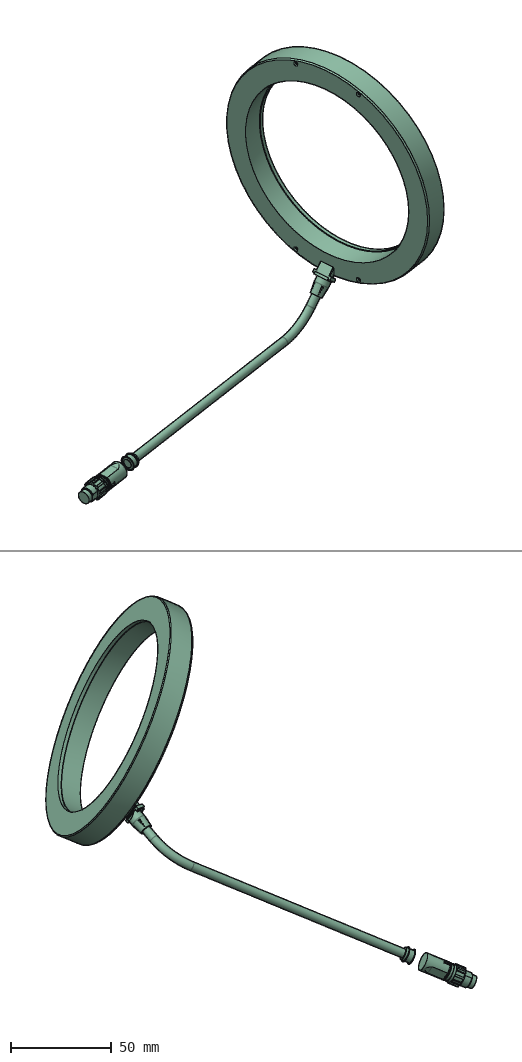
import cadquery as cq
import math

ring_outer_diameter = 128.0
ring_bore_diameter = 103.0
ring_depth = 13.0
ring_back_chamfer = 0.52
ring_front_chamfer_width = 0.52
ring_front_chamfer_depth = 0.93
ring_lip_diameter = 102.0
ring_lip_depth = 2.0
screw_circle_diameter = 123.3
screw_angle_from_vertical = 18.7
screw_hole_diameter = 1.22
screw_sink_diameter = 2.5
screw_hole_depth = 4.1

exit_angle = 45.0
exit_height = -63.7
block_width = 8.5
block_height = 7.9
block_chamfer = 0.5
block_end = 1.9
wing_span = 11.0
wing_start = 0.8
wing_end = 2.7
wing_bottom = -1.0
collar_end = 3.3
collar_size = 8.5
boot_shoulder = 6.5
boot_end = 12.5
boot_base_diameter = 7.9
boot_tip_diameter = 6.5
boot_pad_width = 4.5
boot_groove_count = 4
boot_groove_width = 0.6
boot_groove_depth = 0.6

cable_diameter = 4.8
cable_lead = 6.2
bend_radius = 30.0
cable_run = 119.8

sleeve_diameter = 6.8
sleeve_length = 4.8
sleeve_rim_diameter = 8.0
sleeve_rim_width = 0.2
sleeve_rear_rim = 1.2
sleeve_stub_length = 0.2

overall_length = 207.0
connector_length = 28.5
body_diameter = 9.5
body_front = 15.0
flat_height = 4.1
flat_slope_start = 27.3
flat_start = 24.6
latch_start = 19.0
latch_height = 1.2
latch_depth = 0.8
body_groove_start = 15.7
body_groove_width = 0.6
body_groove_depth = 0.31
neck_diameter = 8.5
nose_rear = 7.0
nose_diameter = 8.0
nose_flat_width = 7.0
nose_front = 2.5
nose_chamfer = 0.5
tip_diameter = 6.8

nut_rear = 13.5
nut_rib_start = 12.0
nut_bore_diameter = 6.2
nut_collar_diameter = 9.5
nut_root_diameter = 9.1
nut_rib_diameter = 10.5
nut_rib_count = 10
nut_rib_width = 1.0

exit_cos = math.cos(math.radians(exit_angle))
exit_sin = math.sin(math.radians(exit_angle))
bend_start_distance = boot_end + cable_lead
bend_start_y = -bend_start_distance * exit_cos
bend_start_z = exit_height - bend_start_distance * exit_sin
bend_end_y = bend_start_y - bend_radius * exit_sin
cable_z = bend_start_z - bend_radius * (1 - exit_cos)
cable_end_y = bend_end_y - cable_run
tip_y = ring_depth - overall_length


def exit_plane(distance):
    """Plane across the gland axis, at a distance from the front face of the ring."""
    origin = (0, -distance * exit_cos, exit_height - distance * exit_sin)
    return cq.Plane(origin=origin, xDir=(1, 0, 0), normal=(0, -exit_cos, -exit_sin))


def rod(y, diameter, length):
    """Cylinder on the axis of the cable run, from y towards -Y."""
    plane = cq.Workplane("XZ", origin=(0, y, cable_z))
    return plane.circle(diameter / 2).extrude(length)


def connector_rod(rear, front, diameter):
    """Cylinder between two stations of the connector."""
    return rod(tip_y + rear, diameter, rear - front)


def make_ring():
    outer = ring_outer_diameter / 2
    bore = ring_bore_diameter / 2
    lip = ring_lip_diameter / 2
    lip_start = ring_depth - ring_lip_depth
    profile = [
        (bore, 0),
        (outer - ring_front_chamfer_width, 0),
        (outer, ring_front_chamfer_depth),
        (outer, ring_depth - ring_back_chamfer),
        (outer - ring_back_chamfer, ring_depth),
        (lip, ring_depth),
        (lip, lip_start),
        (bore, lip_start),
    ]
    ring = cq.Workplane("XY").polyline(profile).close().revolve(360, (0, 0), (0, 1))

    radius = screw_circle_diameter / 2
    x = radius * math.sin(math.radians(screw_angle_from_vertical))
    z = radius * math.cos(math.radians(screw_angle_from_vertical))
    sink_depth = (screw_sink_diameter - screw_hole_diameter) / 2
    hole_profile = [
        (0, 0),
        (screw_sink_diameter / 2, 0),
        (screw_hole_diameter / 2, sink_depth),
        (screw_hole_diameter / 2, screw_hole_depth),
        (0, screw_hole_depth),
    ]
    hole = cq.Workplane("XY").polyline(hole_profile).close().revolve(360, (0, 0), (0, 1))
    for side in (-1, 1):
        for end in (-1, 1):
            ring = ring.cut(hole.translate((side * x, 0, end * z)))
    return ring


def upper_plate(start, end, width, top):
    """Plate across the gland axis that reaches from the wing bottom up to a given height."""
    return (
        cq.Workplane(exit_plane(start))
        .center(0, (top + wing_bottom) / 2)
        .rect(width, top - wing_bottom)
        .extrude(end - start)
    )


def boot_radius(distance):
    """Radius of the tapered boot at a distance along the gland axis."""
    share = (distance - boot_shoulder) / (boot_end - boot_shoulder)
    return (boot_base_diameter + share * (boot_tip_diameter - boot_base_diameter)) / 2


def cut_boot_grooves(gland):
    """Cut ring grooves into the boot, leaving four smooth pads along it."""
    pitch = (boot_end - boot_shoulder) / (boot_groove_count + 0.5)
    reach = collar_size
    pads = (
        cq.Workplane(exit_plane(boot_shoulder))
        .rect(reach, boot_pad_width)
        .extrude(boot_end - boot_shoulder)
        .union(
            cq.Workplane(exit_plane(boot_shoulder))
            .rect(boot_pad_width, reach)
            .extrude(boot_end - boot_shoulder)
        )
    )
    for index in range(boot_groove_count):
        start = boot_shoulder + (index + 0.5) * pitch
        groove = (
            cq.Workplane(exit_plane(start))
            .circle(reach / 2)
            .circle(boot_radius(start) - boot_groove_depth)
            .extrude(boot_groove_width)
        )
        gland = gland.cut(groove.cut(pads))
    return gland


def make_gland():
    block_back = -block_height
    exit_axis = cq.Vector(0, exit_cos, exit_sin)
    block = (
        cq.Workplane(exit_plane(block_back))
        .rect(block_width, block_height)
        .extrude(block_end - block_back)
        .edges(cq.selectors.ParallelDirSelector(exit_axis))
        .chamfer(block_chamfer)
    )
    below_ring = cq.Workplane("XY", origin=(0, 0, -ring_outer_diameter / 2))
    block = block.cut(below_ring.rect(ring_outer_diameter, ring_outer_diameter).extrude(-ring_outer_diameter))

    wings = upper_plate(wing_start, wing_end, wing_span, block_height / 2)
    collar = upper_plate(block_end, collar_end, collar_size, collar_size / 2)
    shoulder = (
        cq.Workplane(exit_plane(block_end))
        .circle(boot_base_diameter / 2)
        .extrude(boot_shoulder - block_end)
    )
    boot = (
        cq.Workplane(exit_plane(boot_shoulder))
        .circle(boot_base_diameter / 2)
        .workplane(offset=boot_end - boot_shoulder)
        .circle(boot_tip_diameter / 2)
        .loft()
    )
    gland = block.union(wings).union(collar).union(shoulder).union(boot)
    gland = cut_boot_grooves(gland)
    behind_face = cq.Workplane("XY").box(
        ring_outer_diameter, ring_outer_diameter, 2 * ring_outer_diameter, centered=(True, False, True)
    )
    return gland.cut(behind_face)


def make_cable():
    lead_start = exit_plane(boot_end)
    bend_middle_angle = math.radians(exit_angle / 2)
    bend_middle = (
        bend_end_y + bend_radius * math.sin(bend_middle_angle),
        cable_z + bend_radius * (1 - math.cos(bend_middle_angle)),
    )
    path = (
        cq.Workplane("YZ")
        .moveTo(lead_start.origin.y, lead_start.origin.z)
        .lineTo(bend_start_y, bend_start_z)
        .threePointArc(bend_middle, (bend_end_y, cable_z))
        .lineTo(cable_end_y, cable_z)
    )
    return cq.Workplane(lead_start).circle(cable_diameter / 2).sweep(path)


def make_sleeve():
    sleeve = rod(cable_end_y, sleeve_diameter, sleeve_length)
    for rim_start in (sleeve_rear_rim, sleeve_length - sleeve_rim_width):
        sleeve = sleeve.union(rod(cable_end_y - rim_start, sleeve_rim_diameter, sleeve_rim_width))
    return sleeve.union(rod(cable_end_y - sleeve_length, cable_diameter, sleeve_stub_length))


def make_connector_body():
    body = connector_rod(connector_length, body_front, body_diameter)

    radius = body_diameter / 2
    flat_profile = [
        (tip_y + flat_slope_start, radius),
        (tip_y + flat_start, flat_height),
        (tip_y + body_front, flat_height),
        (tip_y + body_front, body_diameter),
        (tip_y + flat_slope_start, body_diameter),
    ]
    flat_cut = (
        cq.Workplane("YZ").polyline(flat_profile).close().extrude(body_diameter / 2, both=True)
    )
    for cutter in (flat_cut, flat_cut.mirror("XY")):
        body = body.cut(cutter.translate((0, 0, cable_z)))

    latch_length = latch_start - body_groove_start
    for side in (-1, 1):
        recess = cq.Workplane("XY").box(2 * latch_depth, latch_length, latch_height)
        middle_y = tip_y + (latch_start + body_groove_start) / 2
        body = body.cut(recess.translate((side * radius, middle_y, cable_z)))

    groove_front = body_groove_start - body_groove_width
    groove = connector_rod(body_groove_start, groove_front, 2 * body_diameter)
    groove_root = connector_rod(body_groove_start, groove_front, 2 * (flat_height - body_groove_depth))
    body = body.cut(groove.cut(groove_root))

    neck = connector_rod(body_front, nut_rear, neck_diameter)
    core = connector_rod(nut_rear, nose_rear, nut_bore_diameter)
    nose = connector_rod(nose_rear, nose_front, nose_diameter).faces("<Y or >Y").chamfer(nose_chamfer)
    nose_sides = (
        cq.Workplane("XZ", origin=(0, tip_y + nose_rear, cable_z))
        .rect(nose_flat_width, nose_diameter)
        .extrude(nose_rear - nose_front)
    )
    tip = connector_rod(nose_front, 0, tip_diameter)
    return body.union(neck).union(core).union(nose.intersect(nose_sides)).union(tip)


def make_nut():
    nut = connector_rod(nut_rear, nut_rib_start, nut_collar_diameter)
    nut = nut.union(connector_rod(nut_rib_start, nose_rear, nut_root_diameter))
    rib_plane = cq.Workplane("XZ", origin=(0, tip_y + nut_rib_start, cable_z))
    for index in range(nut_rib_count // 2):
        bar = (
            rib_plane.transformed(rotate=(0, 0, index * 360 / nut_rib_count))
            .rect(nut_rib_width, nut_rib_diameter)
            .extrude(nut_rib_start - nose_rear)
        )
        nut = nut.union(bar)
    return nut.cut(connector_rod(nut_rear, nose_rear, nut_bore_diameter))


ring = make_ring()
gland = make_gland()
cable = make_cable()
sleeve = make_sleeve()
connector_body = make_connector_body()
nut = make_nut()

result = cq.Compound.makeCompound(
    [body.solids().val() for body in (ring, gland, cable, sleeve, connector_body, nut)]
)